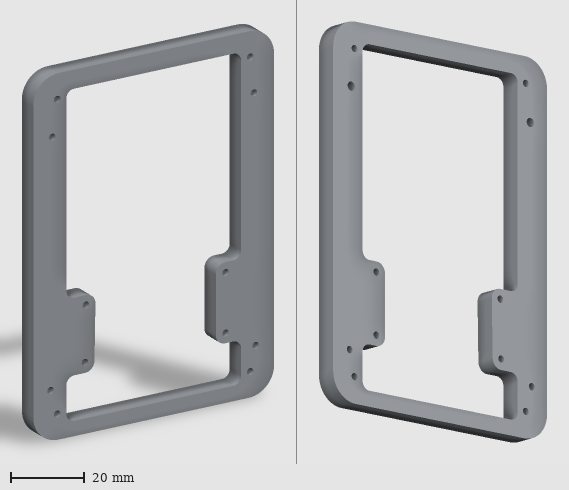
import cadquery as cq

THICKNESS = 6.0
WIDTH = 76.1
HEIGHT = 106.5
CORNER_RADIUS = 8.0

SIDE_RAIL = 10.4
TOP_RAIL = 5.5
BOTTOM_RAIL = 4.5
WINDOW_RADIUS = 2.5

TAB_RADIUS = 3.0
LEFT_TAB_EDGE_Y = 19.6
LEFT_TAB_TOP_Z = -12.4
LEFT_TAB_BOTTOM_Z = -35.9
RIGHT_TAB_TOP_EDGE_Y = -18.3
RIGHT_TAB_BOTTOM_EDGE_Y = -18.7
RIGHT_TAB_TOP_Z = -13.0
RIGHT_TAB_BOTTOM_Z = -35.6

HOLE_DIAMETER = 2.0
COUNTERBORE_DIAMETER = 2.6
COUNTERBORE_DEPTH = THICKNESS / 2
CORNER_HOLE_Y = 30.5
CORNER_HOLE_Z = 45.7
SIDE_HOLE_AXIS_Y = -0.2
UPPER_HOLE_OFFSET = 31.8
UPPER_HOLE_Z = 35.0
LOWER_HOLE_OFFSET = 32.4
LOWER_HOLE_Z = -38.5
LEFT_TAB_HOLES = [(22.7, -15.3), (22.7, -32.9)]
RIGHT_TAB_HOLES = [(-21.4, -15.9), (-21.7, -32.5)]

window_y = WIDTH / 2 - SIDE_RAIL
window_top = HEIGHT / 2 - TOP_RAIL
window_bottom = BOTTOM_RAIL - HEIGHT / 2


def make_plate():
    """Rounded rectangular plate lying in the YZ plane, centred on the origin."""
    plate = cq.Workplane("YZ").rect(WIDTH, HEIGHT).extrude(THICKNESS / 2, both=True)
    return plate.edges("|X").fillet(CORNER_RADIUS)


def make_tab(corners):
    """Round-cornered tab through the full thickness."""
    tab = cq.Workplane("YZ").polyline(corners).close().extrude(THICKNESS / 2, both=True)
    return tab.edges("|X").fillet(TAB_RADIUS)


def make_window():
    """Cutter for the opening, notched on each side around a mounting tab."""
    left_tab = make_tab([
        (LEFT_TAB_EDGE_Y, LEFT_TAB_TOP_Z),
        (LEFT_TAB_EDGE_Y, LEFT_TAB_BOTTOM_Z),
        (WIDTH / 2, LEFT_TAB_BOTTOM_Z),
        (WIDTH / 2, LEFT_TAB_TOP_Z),
    ])
    right_tab = make_tab([
        (RIGHT_TAB_TOP_EDGE_Y, RIGHT_TAB_TOP_Z),
        (RIGHT_TAB_BOTTOM_EDGE_Y, RIGHT_TAB_BOTTOM_Z),
        (-WIDTH / 2, RIGHT_TAB_BOTTOM_Z),
        (-WIDTH / 2, RIGHT_TAB_TOP_Z),
    ])
    window_center_z = (window_top + window_bottom) / 2
    window = (
        cq.Workplane("YZ")
        .center(0, window_center_z)
        .rect(2 * window_y, window_top - window_bottom)
        .extrude(THICKNESS / 2, both=True)
        .cut(left_tab)
        .cut(right_tab)
    )
    return window.faces(">Y or <Y").edges("|X").fillet(WINDOW_RADIUS)


def make_holes(centers, diameter, depth):
    """Cutters from the -X face to the given depth at the (Y, Z) centres."""
    return (
        cq.Workplane("YZ")
        .workplane(offset=-THICKNESS / 2)
        .pushPoints(centers)
        .circle(diameter / 2)
        .extrude(depth)
    )


corner_holes = [(y, z) for y in (-CORNER_HOLE_Y, CORNER_HOLE_Y) for z in (-CORNER_HOLE_Z, CORNER_HOLE_Z)]
upper_holes = [(SIDE_HOLE_AXIS_Y + side * UPPER_HOLE_OFFSET, UPPER_HOLE_Z) for side in (-1, 1)]
lower_holes = [(SIDE_HOLE_AXIS_Y + side * LOWER_HOLE_OFFSET, LOWER_HOLE_Z) for side in (-1, 1)]
through_holes = corner_holes + upper_holes + lower_holes + LEFT_TAB_HOLES + RIGHT_TAB_HOLES

result = (
    make_plate()
    .cut(make_window())
    .cut(make_holes(through_holes, HOLE_DIAMETER, THICKNESS))
    .cut(make_holes(upper_holes, COUNTERBORE_DIAMETER, COUNTERBORE_DEPTH))
)